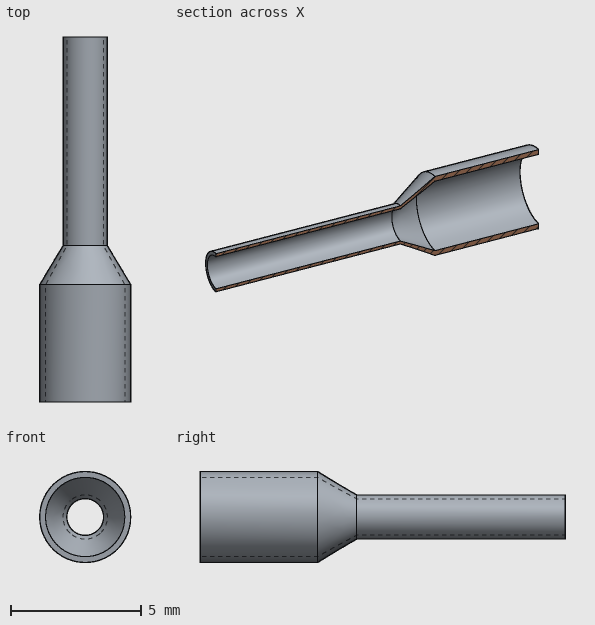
import cadquery as cq


sleeve_outer_diameter = 3.5
sleeve_inner_diameter = 3.04
tube_outer_diameter = 1.7
tube_inner_diameter = 1.4

sleeve_length = 4.5
cone_length = 1.5
tube_length = 8.0

mouth_y = 0.0
cone_start_y = mouth_y + sleeve_length
cone_end_y = cone_start_y + cone_length
tube_end_y = cone_end_y + tube_length


def revolved_funnel(sleeve_diameter, tube_diameter):
    """Solid of revolution about Y: sleeve cylinder, cone, tube cylinder."""
    sleeve_radius = sleeve_diameter / 2
    tube_radius = tube_diameter / 2
    half_profile = (
        cq.Workplane("XY")
        .moveTo(0, mouth_y)
        .lineTo(sleeve_radius, mouth_y)
        .lineTo(sleeve_radius, cone_start_y)
        .lineTo(tube_radius, cone_end_y)
        .lineTo(tube_radius, tube_end_y)
        .lineTo(0, tube_end_y)
        .close()
    )
    return half_profile.revolve(360, (0, 0, 0), (0, 1, 0))


body = revolved_funnel(sleeve_outer_diameter, tube_outer_diameter)
bore = revolved_funnel(sleeve_inner_diameter, tube_inner_diameter)

result = body.cut(bore)